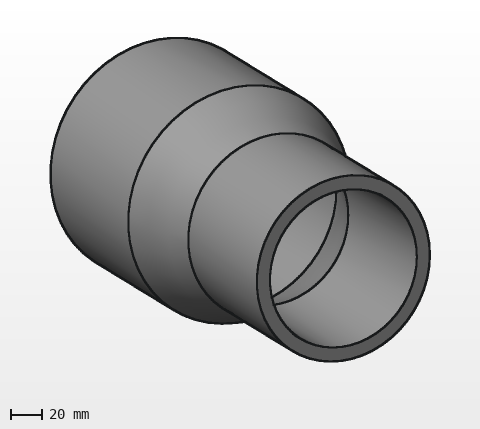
import cadquery as cq

total_length = 260.0
large_length = 111.0
taper_length = 51.2
taper_end = large_length + taper_length

large_outer_diameter = 160.0
large_bore_diameter = 141.0
small_outer_diameter = 125.0
small_bore_diameter = 106.0


def stepped_body(large_diameter, small_diameter):
    """Solid of revolution about X: large cylinder, taper, small cylinder."""
    large_radius = large_diameter / 2
    small_radius = small_diameter / 2
    return (
        cq.Workplane("XY")
        .moveTo(0, 0)
        .lineTo(0, large_radius)
        .lineTo(large_length, large_radius)
        .lineTo(taper_end, small_radius)
        .lineTo(total_length, small_radius)
        .lineTo(total_length, 0)
        .close()
        .revolve(360, (0, 0, 0), (1, 0, 0))
    )


outside = stepped_body(large_outer_diameter, small_outer_diameter)
bore = stepped_body(large_bore_diameter, small_bore_diameter)
result = outside.cut(bore)